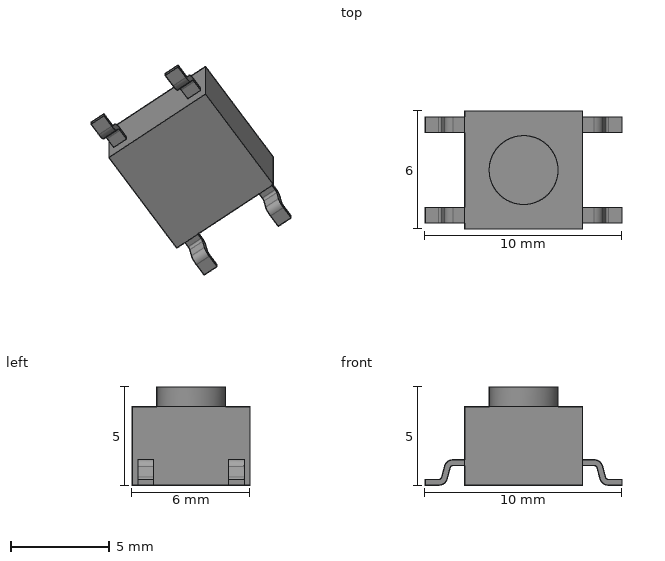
import cadquery as cq
import math

body_side = 6.0
body_height = 4.0

button_diameter = 3.5
button_height = 1.0

lead_span = 10.0
lead_pitch = 4.6
lead_width = 0.8
lead_thickness = 0.3
lead_top = 1.3
foot_length = 0.69
inner_bend_radius = 0.15
bend_angle = math.radians(75)

outer_bend_radius = inner_bend_radius + lead_thickness


def make_body():
    return cq.Workplane("XY").box(body_side, body_side, body_height, centered=(True, True, False))


def make_button():
    return (
        cq.Workplane("XY")
        .workplane(offset=body_height)
        .circle(button_diameter / 2)
        .extrude(button_height)
    )


def bend_point(center, radius, angle):
    """Point on a bend, with the angle measured from +X toward +Z."""
    return (center[0] + radius * math.cos(angle), center[1] + radius * math.sin(angle))


def make_lead():
    """One lead on the -X side, centered on Y = 0."""
    toe_x = -lead_span / 2
    body_x = -body_side / 2
    shoulder_bottom = lead_top - lead_thickness

    foot_center = (toe_x + foot_length, lead_thickness + inner_bend_radius)
    shoulder_center_z = shoulder_bottom - inner_bend_radius

    radius_sum = inner_bend_radius + outer_bend_radius
    slope_rise = shoulder_center_z - foot_center[1] + radius_sum * math.cos(bend_angle)
    center_spacing = radius_sum * math.sin(bend_angle) + slope_rise / math.tan(bend_angle)
    shoulder_center = (foot_center[0] + center_spacing, shoulder_center_z)

    foot_start = -math.pi / 2
    foot_middle = foot_start + bend_angle / 2
    foot_end = foot_start + bend_angle
    shoulder_start = math.pi / 2 + bend_angle
    shoulder_middle = math.pi / 2 + bend_angle / 2
    shoulder_end = math.pi / 2

    return (
        cq.Workplane("XZ")
        .moveTo(toe_x, 0)
        .lineTo(foot_center[0], 0)
        .threePointArc(
            bend_point(foot_center, outer_bend_radius, foot_middle),
            bend_point(foot_center, outer_bend_radius, foot_end),
        )
        .lineTo(*bend_point(shoulder_center, inner_bend_radius, shoulder_start))
        .threePointArc(
            bend_point(shoulder_center, inner_bend_radius, shoulder_middle),
            bend_point(shoulder_center, inner_bend_radius, shoulder_end),
        )
        .lineTo(body_x, shoulder_bottom)
        .lineTo(body_x, lead_top)
        .lineTo(shoulder_center[0], lead_top)
        .threePointArc(
            bend_point(shoulder_center, outer_bend_radius, shoulder_middle),
            bend_point(shoulder_center, outer_bend_radius, shoulder_start),
        )
        .lineTo(*bend_point(foot_center, inner_bend_radius, foot_end))
        .threePointArc(
            bend_point(foot_center, inner_bend_radius, foot_middle),
            bend_point(foot_center, inner_bend_radius, foot_start),
        )
        .lineTo(toe_x, lead_thickness)
        .close()
        .extrude(lead_width / 2, both=True)
    )


result = make_body().union(make_button())
for lead_y in (-lead_pitch / 2, lead_pitch / 2):
    left_lead = make_lead().translate((0, lead_y, 0))
    result = result.union(left_lead).union(left_lead.mirror("YZ"))